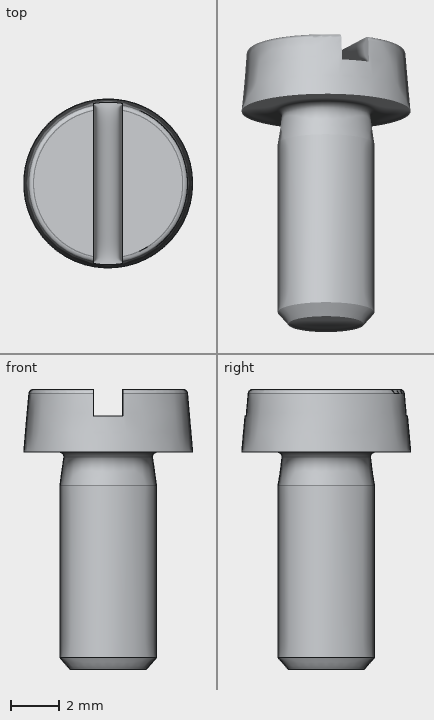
import cadquery as cq
import math

total_length = 11.6

head_diameter = 7.0
head_height = 2.6
head_taper = 5.0
head_edge_radius = 0.2

slot_width = 1.2
slot_depth = 1.1

shank_diameter = 4.0
tip_diameter = 3.13
tip_height = 0.5
neck_diameter = 3.67
neck_length = 1.39
neck_fillet_radius = 0.2

head_radius = head_diameter / 2
head_top_radius = head_radius - head_height * math.tan(math.radians(head_taper))
shank_radius = shank_diameter / 2
neck_radius = neck_diameter / 2
tip_z = head_height - total_length


def make_head():
    """Tapered head with a rounded top edge."""
    profile = (
        cq.Workplane("XZ")
        .lineTo(head_radius, 0)
        .lineTo(head_top_radius, head_height)
        .lineTo(0, head_height)
        .close()
    )
    return profile.revolve(360, (0, 0), (0, 1)).faces(">Z").edges().fillet(head_edge_radius)


def make_shank():
    """Cylinder with a conical tip, narrowing to a filleted neck under the head."""
    fillet_z = -neck_fillet_radius
    flare_radius = neck_radius + neck_fillet_radius
    arc_offset = neck_fillet_radius * (1 - math.sqrt(0.5))
    profile = (
        cq.Workplane("XZ")
        .moveTo(0, tip_z)
        .lineTo(tip_diameter / 2, tip_z)
        .lineTo(shank_radius, tip_z + tip_height)
        .lineTo(shank_radius, -neck_length)
        .lineTo(neck_radius, fillet_z)
        .threePointArc((neck_radius + arc_offset, -arc_offset), (flare_radius, 0))
        .lineTo(0, 0)
        .close()
    )
    return profile.revolve(360, (0, 0), (0, 1))


def make_slot():
    """Straight slot cutter through the full width of the head."""
    return (
        cq.Workplane("XY", origin=(0, 0, head_height))
        .rect(slot_width, head_diameter)
        .extrude(-slot_depth)
    )


result = make_head().union(make_shank()).cut(make_slot())